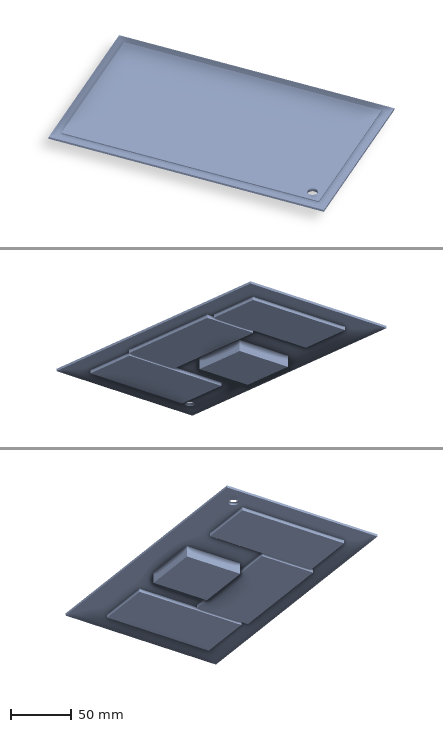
import cadquery as cq

plate_length = 248.0
plate_width = 148.0
plate_thickness = 2.0
panel_margin = 8.0
panel_thickness = 1.0

hole_diameter = 8.7
hole_x = 106.1
hole_y = -56.3

pad_long = 100.0
pad_short = pad_long / 2
pad_thickness = 3.0
pad_gap = 4.0
side_pad_back_y = 54.0
middle_pad_back_y = 58.0

box_length = 51.0
box_width = 52.3
box_height = 10.0
box_back_y = 2.0


def standing_block(length, width, height):
    """Block centred in X and Y, standing on Z = 0."""
    return cq.Workplane("XY").box(length, width, height, centered=(True, True, False))


def hanging_block(length, width, height, center_x, back_y):
    """Block hanging from the plate's underside, which lies at Z = 0."""
    block = cq.Workplane("XY").box(length, width, height)
    return block.translate((center_x, back_y - width / 2, -height / 2))


plate = standing_block(plate_length, plate_width, plate_thickness)
panel = standing_block(
    plate_length - 2 * panel_margin,
    plate_width - 2 * panel_margin,
    panel_thickness,
).translate((0, 0, plate_thickness))
result = plate.union(panel)

hole = (
    cq.Workplane("XY")
    .center(hole_x, hole_y)
    .circle(hole_diameter / 2)
    .extrude(plate_thickness + panel_thickness)
)
result = result.cut(hole)

result = result.union(hanging_block(pad_long, pad_short, pad_thickness, 0, middle_pad_back_y))
side_pad_x = pad_long / 2 + pad_gap + pad_short / 2
for side in (-1, 1):
    side_pad = hanging_block(pad_short, pad_long, pad_thickness, side * side_pad_x, side_pad_back_y)
    result = result.union(side_pad)

result = result.union(hanging_block(box_length, box_width, box_height, 0, box_back_y))